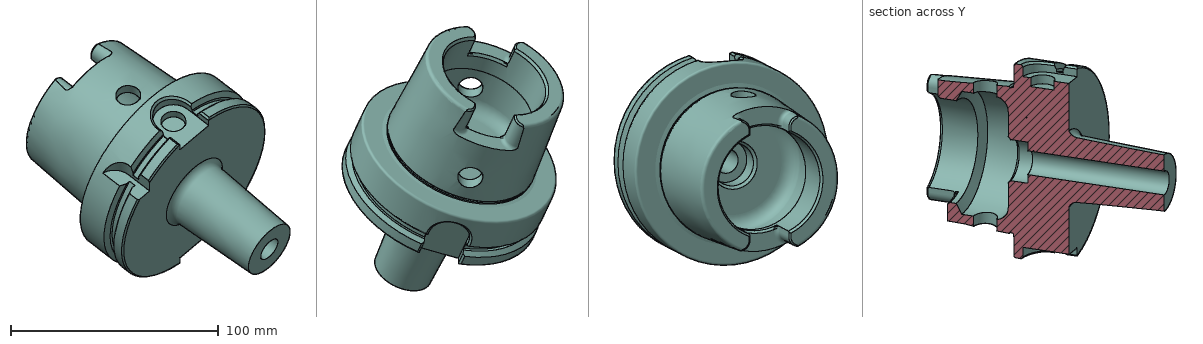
import cadquery as cq
import math


total_length = 129.0
shank_length = 50.0
flange_width = 29.0
shank_end = -shank_length
nose_end = total_length - shank_length

shank_end_radius = 35.5
shank_end_round = 1.7
taper_large_radius = 37.9
taper_end_gap = 2.5
undercut_radius = 37.2
undercut_gap = 1.7
neck_radius = 37.5
neck_start_gap = 1.2
neck_end_gap = 0.4
face_relief_radius = 39.6

flange_radius = 100.0 / 2
flange_front_round = 1.2
flange_back_chamfer = 0.8
groove_radius = 45.9
groove_floor_start = 18.0
groove_floor_width = 3.5
groove_flank_width = 1.5
groove_flank_angle = 30.0

nose_root_radius = 16.8
nose_tip_radius = 14.6
nose_fillet_radius = 5.0
nose_fillet_length = 4.5

bore_radius = 26.3
rim_chamfer_width = 1.0
rim_chamfer_length = 1.4
bore_depth = 20.0
chamber_radius = 31.5
chamber_flare_angle = 60.0
chamber_depth = 47.1
chamber_floor_radius = 24.6
tube_radius = 10.5
tube_chamfer = 1.4
tube_depth = 10.3
through_radius = 12.0 / 2

drive_half_width = 10.0
drive_corner_radius = 5.0
drive_corner_height = 27.1
drive_floor_round = 1.9
drive_entry_chamfer = 0.8
drive_top_depth = 10.3
drive_bottom_depth = 15.4

cross_hole_radius = 12.0 / 2
cross_hole_x = -15.0
cutter_radius = 20.0 / 2
cutter_x = 15.1
key_floor_height = 44.0
key_rim_chamfer = 1.2
chip_hole_radius = 12.0 / 2
chip_hole_depth = 4.5
notch_offset = 31.2

ARC_MIDDLE = math.sqrt(0.5)


def revolved(profile):
    """Turn a profile drawn in the XY plane about the X axis."""
    return profile.close().revolve(360, (0, 0, 0), (1, 0, 0))


def turned_over(shape):
    """The same shape on the opposite (-Z) side."""
    return shape.rotate((0, 0, 0), (1, 0, 0), 180)


def build_body():
    """Shank, plain flange and nose, turned in one piece."""
    fillet_end = flange_width + nose_fillet_length

    def nose_fillet_point(distance):
        drop = math.sqrt(nose_fillet_radius**2 - distance**2)
        return (fillet_end - distance, nose_root_radius + nose_fillet_radius - drop)

    end_sag = shank_end_round * (1 - ARC_MIDDLE)
    front_sag = flange_front_round * (1 - ARC_MIDDLE)
    return revolved(
        cq.Workplane("XY")
        .moveTo(shank_end, 0)
        .lineTo(shank_end, shank_end_radius - shank_end_round)
        .threePointArc(
            (shank_end + end_sag, shank_end_radius - end_sag),
            (shank_end + shank_end_round, shank_end_radius),
        )
        .lineTo(-taper_end_gap, taper_large_radius)
        .lineTo(-undercut_gap, undercut_radius)
        .lineTo(-neck_start_gap, neck_radius)
        .lineTo(-neck_end_gap, neck_radius)
        .lineTo(0, face_relief_radius)
        .lineTo(0, flange_radius - flange_front_round)
        .threePointArc(
            (front_sag, flange_radius - front_sag),
            (flange_front_round, flange_radius),
        )
        .lineTo(flange_width, flange_radius)
        .lineTo(*nose_fillet_point(nose_fillet_length))
        .threePointArc(nose_fillet_point(nose_fillet_length / 2), nose_fillet_point(0))
        .lineTo(nose_end, nose_tip_radius)
        .lineTo(nose_end, 0)
    )


def build_key_slot():
    """Round-ended slot in the top of the flange, open toward the nose."""
    return (
        cq.Workplane("XY", origin=(0, 0, key_floor_height))
        .moveTo(cutter_x, -cutter_radius)
        .threePointArc((cutter_x - cutter_radius, 0), (cutter_x, cutter_radius))
        .lineTo(flange_width, cutter_radius)
        .lineTo(flange_width, -cutter_radius)
        .close()
        .extrude(flange_radius - key_floor_height)
    )


def chamfer_key_rims(body):
    """Bevel the edges where the key slots break through the flange cylinder."""
    rim_bottom = math.sqrt(flange_radius**2 - cutter_radius**2)
    margin = 0.1
    for side in (1, -1):
        rim = cq.selectors.BoxSelector(
            (margin, -cutter_radius - margin, side * (rim_bottom - margin)),
            (flange_width - margin, cutter_radius + margin, side * (flange_radius + margin)),
        )
        body = body.edges(rim).chamfer(key_rim_chamfer)
    return body


def build_groove():
    """V-flanked gripper groove around the flange."""
    flank_height = groove_flank_width / math.tan(math.radians(groove_flank_angle))
    floor_end = groove_floor_start + groove_floor_width
    return revolved(
        cq.Workplane("XY")
        .moveTo(groove_floor_start - groove_flank_width, flange_radius)
        .lineTo(groove_floor_start, flange_radius - flank_height)
        .lineTo(groove_floor_start, groove_radius)
        .lineTo(floor_end, groove_radius)
        .lineTo(floor_end, flange_radius - flank_height)
        .lineTo(floor_end + groove_flank_width, flange_radius)
    )


def build_back_chamfer():
    """Ring removed from the nose-side rim of the flange."""
    return revolved(
        cq.Workplane("XY")
        .moveTo(flange_width - flange_back_chamfer, flange_radius)
        .lineTo(flange_width, flange_radius)
        .lineTo(flange_width, flange_radius - flange_back_chamfer)
    )


def build_corner_notch():
    """Milled corner of the flange on the -Y, +Z side, ended by the cutter radius."""
    notch_end = cutter_x - cutter_radius
    sag = cutter_radius * (1 - ARC_MIDDLE)
    return (
        cq.Workplane("XY", origin=(0, 0, notch_offset))
        .moveTo(flange_width, -notch_offset)
        .lineTo(cutter_x, -notch_offset)
        .threePointArc(
            (notch_end + sag, -notch_offset - sag),
            (notch_end, -notch_offset - cutter_radius),
        )
        .lineTo(notch_end, -flange_radius)
        .lineTo(flange_width, -flange_radius)
        .close()
        .extrude(flange_radius - notch_offset)
    )


def build_bores():
    """Clamping bore with its wider chamber, coolant tube recess and through hole."""
    flare_start = shank_end + bore_depth
    flare_length = (chamber_radius - bore_radius) / math.tan(math.radians(chamber_flare_angle))
    floor_x = shank_end + chamber_depth
    floor_round = chamber_radius - chamber_floor_radius
    floor_sag = floor_round * (1 - ARC_MIDDLE)
    tube_end = floor_x + tube_depth
    return revolved(
        cq.Workplane("XY")
        .moveTo(shank_end, 0)
        .lineTo(shank_end, bore_radius)
        .lineTo(flare_start, bore_radius)
        .lineTo(flare_start + flare_length, chamber_radius)
        .lineTo(floor_x - floor_round, chamber_radius)
        .threePointArc(
            (floor_x - floor_sag, chamber_radius - floor_sag),
            (floor_x, chamber_floor_radius),
        )
        .lineTo(floor_x, tube_radius + tube_chamfer)
        .lineTo(floor_x + tube_chamfer, tube_radius)
        .lineTo(tube_end, tube_radius)
        .lineTo(tube_end, through_radius)
        .lineTo(nose_end, through_radius)
        .lineTo(nose_end, 0)
    )


def build_rim_chamfer(depth):
    """Cone that bevels the bore rim on a face lying at a depth from the shank end."""
    rim_x = shank_end + depth
    return revolved(
        cq.Workplane("XY")
        .moveTo(rim_x, 0)
        .lineTo(rim_x, bore_radius + rim_chamfer_width)
        .lineTo(rim_x + rim_chamfer_length, bore_radius)
        .lineTo(rim_x + rim_chamfer_length, 0)
    )


def drive_slot_outline(widening):
    """Cross-section of a drive slot: straight flanks, then rounded corners of the drive keys."""
    half_width = drive_half_width + widening
    corner_radius = drive_corner_radius - widening
    corner_y = half_width + corner_radius
    corner_top = drive_corner_height + corner_radius
    mid_y = corner_y - corner_radius * ARC_MIDDLE
    mid_z = drive_corner_height + corner_radius * ARC_MIDDLE
    return (
        cq.Workplane("YZ", origin=(shank_end, 0, 0))
        .moveTo(-half_width, 0)
        .lineTo(-half_width, drive_corner_height)
        .threePointArc((-mid_y, mid_z), (-corner_y, corner_top))
        .lineTo(-flange_radius, corner_top)
        .lineTo(-flange_radius, flange_radius)
        .lineTo(flange_radius, flange_radius)
        .lineTo(flange_radius, corner_top)
        .lineTo(corner_y, corner_top)
        .threePointArc((mid_y, mid_z), (half_width, drive_corner_height))
        .lineTo(half_width, 0)
        .close()
    )


def build_drive_slot(depth):
    """Slot through the upper shank wall: rounded floor, bevelled entry and bevelled bore rim."""
    slot = drive_slot_outline(0).extrude(depth).faces(">X").edges().fillet(drive_floor_round)
    entry = drive_slot_outline(drive_entry_chamfer).extrude(drive_entry_chamfer, taper=45)
    slot_column = (
        cq.Workplane("XY")
        .box(shank_length, 2 * drive_half_width, shank_end_radius, centered=(False, True, False))
        .translate((shank_end, 0, 0))
    )
    rim = build_rim_chamfer(depth).intersect(slot_column)
    return slot.union(entry).union(rim)


def build_cross_hole():
    """Hole through both walls of the shank."""
    return (
        cq.Workplane("XY", origin=(cross_hole_x, 0, -flange_radius))
        .circle(cross_hole_radius)
        .extrude(2 * flange_radius)
    )


def build_chip_hole():
    """Blind round pocket in the floor of the upper key slot."""
    return (
        cq.Workplane("XY", origin=(cutter_x, 0, key_floor_height - chip_hole_depth))
        .circle(chip_hole_radius)
        .extrude(chip_hole_depth)
    )


key_slot = build_key_slot()
result = build_body().cut(key_slot).cut(turned_over(key_slot))
result = chamfer_key_rims(result)
result = result.cut(build_groove()).cut(build_back_chamfer())
result = result.cut(build_corner_notch()).cut(build_chip_hole())

result = result.cut(build_bores()).cut(build_rim_chamfer(0))
result = result.cut(build_drive_slot(drive_top_depth))
result = result.cut(turned_over(build_drive_slot(drive_bottom_depth)))
result = result.cut(build_cross_hole())